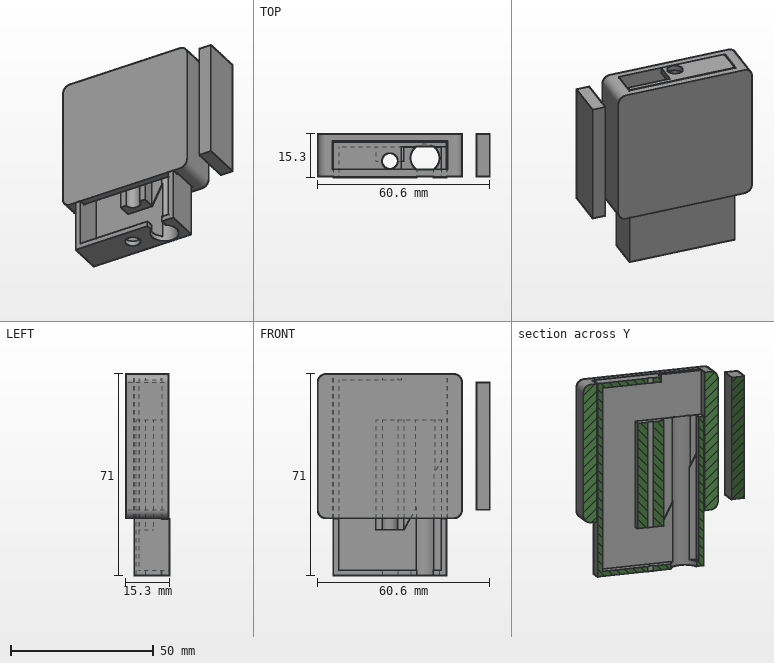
import cadquery as cq


SLEEVE_SIZE = 50.85
SLEEVE_DEPTH = 15.0
CORNER_RADIUS = 3.0
SLEEVE_WALL = 2.5
SIDE_CLEARANCE = 0.25
BACK_CLEARANCE = 0.35

OVERALL_HEIGHT = 71.0
OVERALL_DEPTH = 15.35
SLIDER_WIDTH = 40.0
WALL = 2.0
POCKET_BACK_DEPTH = 4.5
STEP_GAP = 0.2

ROD_DIAMETER = 5.5
ROD_DEPTH = 9.5
GUIDE_WIDTH = 9.95
GUIDE_DROP = 4.05

WEB_THICKNESS = 0.25
WEB_RUN_PER_RISE = 0.53

BORE_X = 12.35
BORE_DEPTH = 8.45
BORE_RADIUS = 5.05
OPENING_WIDTH = 5.8
SLOT_LEFT_X = 4.05

OVERALL_WIDTH = 60.6
BAR_WIDTH = 4.8

SLEEVE_HALF = SLEEVE_SIZE / 2
WINDOW_FRONT_DEPTH = SLEEVE_DEPTH - SLEEVE_WALL
SLIDER_HALF = SLIDER_WIDTH / 2
SLIDER_BACK_DEPTH = SLEEVE_WALL + BACK_CLEARANCE
SLIDER_BOTTOM = SLEEVE_SIZE - OVERALL_HEIGHT
POCKET_HALF = SLIDER_HALF - WALL
POCKET_BOTTOM = SLIDER_BOTTOM + WALL
POCKET_TOP = SLEEVE_SIZE - WALL
GUIDE_HALF = GUIDE_WIDTH / 2
GUIDE_BOTTOM = -GUIDE_DROP
GUIDE_TOP = SLEEVE_SIZE - (GUIDE_BOTTOM - SLIDER_BOTTOM)


def box(x_range, depth_range, z_range):
    """Box between two X places, two depths from the back face and two heights."""
    (x0, x1), (near, far), (z0, z1) = x_range, depth_range, z_range
    return cq.Workplane("XY").box(x1 - x0, far - near, z1 - z0, centered=False).translate((x0, -far, z0))


def upright_cylinder(x, depth, radius, bottom, top):
    return cq.Workplane("XY").center(x, -depth).circle(radius).extrude(top - bottom).translate((0, 0, bottom))


def make_sleeve():
    """Square block with rounded corners and a window from top to bottom."""
    block = box((-SLEEVE_HALF, SLEEVE_HALF), (0, SLEEVE_DEPTH), (0, SLEEVE_SIZE))
    block = block.edges("|Y").fillet(CORNER_RADIUS)
    window_half = SLIDER_HALF + SIDE_CLEARANCE
    window = box((-window_half, window_half), (SLEEVE_WALL, WINDOW_FRONT_DEPTH), (0, SLEEVE_SIZE))
    return block.cut(window)


def make_tray():
    """Open-fronted tray, deeper below the sleeve than inside it."""
    width = (-SLIDER_HALF, SLIDER_HALF)
    upper = box(width, (SLIDER_BACK_DEPTH, WINDOW_FRONT_DEPTH), (SLIDER_BOTTOM, SLEEVE_SIZE))
    lower = box(width, (SLIDER_BACK_DEPTH, OVERALL_DEPTH), (SLIDER_BOTTOM, -STEP_GAP))
    pocket_width = (-POCKET_HALF, POCKET_HALF)
    pocket = box(pocket_width, (POCKET_BACK_DEPTH, OVERALL_DEPTH), (POCKET_BOTTOM, POCKET_TOP))
    return upper.union(lower).cut(pocket)


def make_guide():
    """Block on the pocket's rear surface, reaching forward to the rod's axis."""
    return box((-GUIDE_HALF, GUIDE_HALF), (POCKET_BACK_DEPTH, ROD_DEPTH), (GUIDE_BOTTOM, GUIDE_TOP))


def make_web():
    """Thin web from the guide block to the right wall, with a sloping lower edge."""
    slope_end = GUIDE_BOTTOM + (POCKET_HALF - GUIDE_HALF) / WEB_RUN_PER_RISE
    outline = [
        (GUIDE_HALF, GUIDE_BOTTOM),
        (POCKET_HALF, slope_end),
        (POCKET_HALF, GUIDE_TOP),
        (GUIDE_HALF, GUIDE_TOP),
    ]
    web = cq.Workplane("XZ").polyline(outline).close().extrude(WEB_THICKNESS)
    return web.translate((0, -POCKET_BACK_DEPTH, 0))


def make_slider():
    rod_bore = upright_cylinder(0, ROD_DEPTH, ROD_DIAMETER / 2, SLIDER_BOTTOM, SLEEVE_SIZE)
    large_bore = upright_cylinder(BORE_X, BORE_DEPTH, BORE_RADIUS, SLIDER_BOTTOM, GUIDE_TOP)
    opening_half = OPENING_WIDTH / 2
    floor_opening = box(
        (BORE_X - opening_half, BORE_X + opening_half),
        (BORE_DEPTH, OVERALL_DEPTH),
        (SLIDER_BOTTOM, POCKET_BOTTOM),
    )
    top_slot = box(
        (SLOT_LEFT_X, SLIDER_HALF),
        (POCKET_BACK_DEPTH, WINDOW_FRONT_DEPTH),
        (GUIDE_TOP, SLEEVE_SIZE),
    )
    slider = make_tray().union(make_guide()).union(make_web())
    return slider.cut(rod_bore).cut(large_bore).cut(floor_opening).cut(top_slot)


def make_bar():
    """Plain bar beside the sleeve, as long as the straight part of the sleeve's side."""
    right = OVERALL_WIDTH - SLEEVE_HALF
    height = (CORNER_RADIUS, SLEEVE_SIZE - CORNER_RADIUS)
    return box((right - BAR_WIDTH, right), (0, SLEEVE_DEPTH), height)


sleeve = make_sleeve()
slider = make_slider()
bar = make_bar()

result = cq.Compound.makeCompound([sleeve.val(), slider.val(), bar.val()])